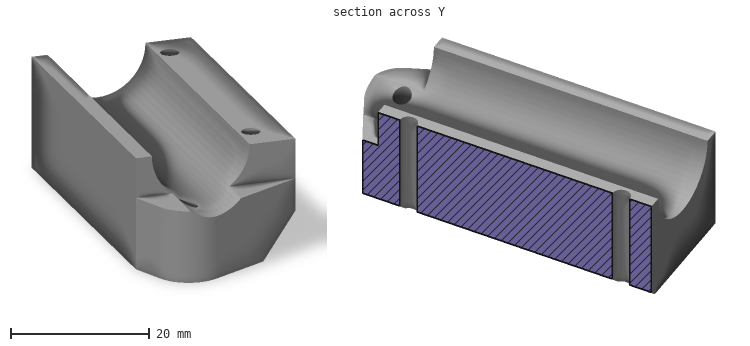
import math

import cadquery as cq

body_length = 45.0
body_width = 24.45
body_height = 17.11
edge_chamfer = 6.0

channel_radius = 7.5
channel_axis_y = 9.95

nose_height = 11.0
nose_tip_x = 53.2
nose_radius = 5.5
pivot_x = nose_tip_x - nose_radius
pivot_y = 7.1

hole_diameter = 2.8
mount_hole_y = 19.4
mount_hole_first_x = 5.0
mount_hole_spacing = 35.0


def tangent_point(start_x, start_y, side):
    """Point where a line from the start touches the nose arc.

    side is +1 or -1: the way to turn from the start direction, seen from the arc center.
    """
    offset_x = start_x - pivot_x
    offset_y = start_y - pivot_y
    start_angle = math.atan2(offset_y, offset_x)
    turn = math.acos(nose_radius / math.hypot(offset_x, offset_y))
    angle = start_angle + side * turn
    return (pivot_x + nose_radius * math.cos(angle), pivot_y + nose_radius * math.sin(angle))


def make_body():
    return cq.Workplane("XY").box(body_length, body_width, body_height, centered=False)


def make_nose():
    """Tapered nose: two straight sides, both tangent to the rounded tip."""
    return (
        cq.Workplane("XY")
        .moveTo(body_length, 0)
        .lineTo(*tangent_point(body_length, 0, 1))
        .threePointArc((nose_tip_x, pivot_y), tangent_point(body_length, body_width, -1))
        .lineTo(body_length, body_width)
        .close()
        .extrude(nose_height)
    )


def make_channel():
    """Cylinder cut through the block and the nose."""
    return (
        cq.Workplane("YZ")
        .center(channel_axis_y, body_height)
        .circle(channel_radius)
        .extrude(nose_tip_x)
    )


def make_edge_chamfer():
    """Triangular prism removed along the lower +Y edge of the block and the nose."""
    return (
        cq.Workplane("YZ")
        .moveTo(body_width - edge_chamfer, 0)
        .lineTo(body_width, 0)
        .lineTo(body_width, edge_chamfer)
        .close()
        .extrude(nose_tip_x)
    )


def make_holes():
    centers = [
        (mount_hole_first_x, mount_hole_y),
        (mount_hole_first_x + mount_hole_spacing, mount_hole_y),
        (pivot_x, pivot_y),
    ]
    return (
        cq.Workplane("XY")
        .pushPoints(centers)
        .circle(hole_diameter / 2)
        .extrude(body_height)
    )


result = (
    make_body()
    .union(make_nose())
    .cut(make_channel())
    .cut(make_edge_chamfer())
    .cut(make_holes())
)